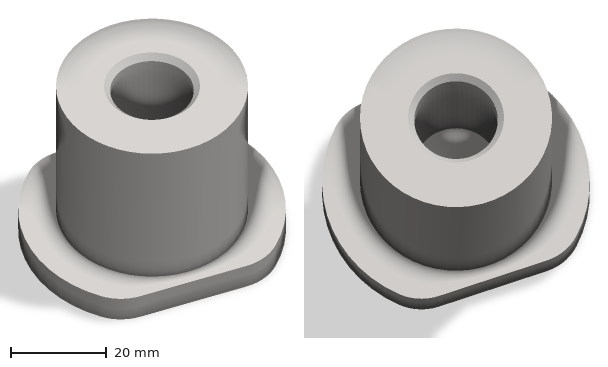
import cadquery as cq
import math

flange_diameter = 55.8
flange_width = 46.0
flange_thickness = 6.0
corner_radius = 10.95

total_height = 42.0
body_diameter = 40.0

hole_diameter = 17.4
mouth_diameter = 20.0
mouth_chamfer = (mouth_diameter - hole_diameter) / 2
hole_depth = 27.9
drill_point_angle = 118.0


def make_flange():
    disc = cq.Workplane("XY").circle(flange_diameter / 2).extrude(flange_thickness)
    flats = cq.Workplane("XY").rect(flange_width, flange_diameter).extrude(flange_thickness)
    return disc.intersect(flats).edges("|Z and (>X or <X)").fillet(corner_radius)


def make_body():
    return cq.Workplane("XY").circle(body_diameter / 2).extrude(total_height)


def make_hole():
    hole_radius = hole_diameter / 2
    floor = total_height - hole_depth
    tip = floor - hole_radius / math.tan(math.radians(drill_point_angle / 2))
    return (
        cq.Workplane("XZ")
        .moveTo(0, tip)
        .lineTo(hole_radius, floor)
        .lineTo(hole_radius, total_height - mouth_chamfer)
        .lineTo(mouth_diameter / 2, total_height)
        .lineTo(0, total_height)
        .close()
        .revolve(360, (0, 0, 0), (0, 1, 0))
    )


result = make_flange().union(make_body()).cut(make_hole())